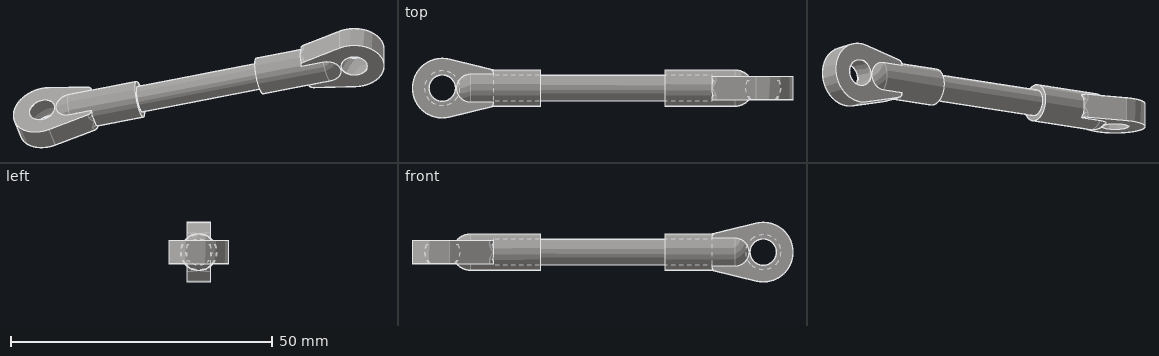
import cadquery as cq
import math

overall_length = 72.9
eye_diameter = 11.46
eye_radius = eye_diameter / 2
eye_center = overall_length / 2 - eye_radius

plate_thickness = 4.5
plate_start = 20.9
plate_corner_radius = 1.0
eye_opening_radius = 2.5
socket_radius = math.hypot(eye_opening_radius, plate_thickness / 2)

sleeve_radius = 3.5
sleeve_start = 11.9
sleeve_straight_end = 25.3

plate_start_half_width = sleeve_radius
nose_length = 0.8
nose_half_width = 1.5

rod_radius = 2.5
rod_half_length = plate_start


def x_cylinder(radius, start, end):
    """Solid cylinder on the X axis between two X positions."""
    return cq.Workplane("YZ").workplane(offset=start).circle(radius).extrude(end - start)


def make_plate():
    """Tapered plate with flanks tangent to the round eye, its faces normal to Y.

    The inner end is a blunt wedge whose nose lies inside the sleeve. Its rounded flank edges
    run out to nothing where the flanks meet the top of the sleeve.
    """
    run = eye_center - plate_start
    start_distance = math.hypot(run, plate_start_half_width)
    start_direction = math.atan2(plate_start_half_width, -run)
    tangent_angle = start_direction - math.acos(eye_radius / start_distance)
    tangent_x = eye_center + eye_radius * math.cos(tangent_angle)
    tangent_z = eye_radius * math.sin(tangent_angle)

    flank_slope = (tangent_z - plate_start_half_width) / (tangent_x - plate_start)
    nose_x = plate_start - nose_length
    nose_z = plate_start_half_width - flank_slope * nose_length

    plate = (
        cq.Workplane("XZ")
        .moveTo(nose_x, -nose_z)
        .lineTo(tangent_x, -tangent_z)
        .threePointArc((eye_center + eye_radius, 0), (tangent_x, tangent_z))
        .lineTo(nose_x, nose_z)
        .close()
        .extrude(plate_thickness / 2, both=True)
    )
    plan = (
        cq.Workplane("XY")
        .moveTo(nose_x, 0)
        .lineTo(plate_start, nose_half_width)
        .lineTo(plate_start, eye_radius)
        .lineTo(overall_length, eye_radius)
        .lineTo(overall_length, -eye_radius)
        .lineTo(plate_start, -eye_radius)
        .lineTo(plate_start, -nose_half_width)
        .close()
        .extrude(eye_diameter, both=True)
    )
    plate = plate.intersect(plan)
    inner_end_limit = plate_start + plate_corner_radius
    inner_end_edges = plate.edges("not |Z").filter(lambda edge: edge.Center().x < inner_end_limit)
    return inner_end_edges.fillet(plate_corner_radius)


def make_rod_end():
    """Rod end on the +X tip: sleeve, domed tip, eye plate, ball socket and blind rod bore."""
    sleeve = x_cylinder(sleeve_radius, sleeve_start, sleeve_straight_end)
    dome = cq.Workplane("XY").sphere(sleeve_radius).translate((sleeve_straight_end, 0, 0))
    socket = cq.Workplane("XY").sphere(socket_radius).translate((eye_center, 0, 0))
    bore = x_cylinder(rod_radius, sleeve_start, rod_half_length)
    return sleeve.union(dome).union(make_plate()).cut(socket).cut(bore)


rod = x_cylinder(rod_radius, -rod_half_length, rod_half_length)

rod_end = make_rod_end()
rod_ends = []
for turn, roll in [(0, 0), (180, 90)]:
    placed = rod_end.rotate((0, 0, 0), (0, 0, 1), turn).rotate((0, 0, 0), (1, 0, 0), roll)
    rod_ends.append(placed.val())

result = cq.Compound.makeCompound([rod.val(), *rod_ends])